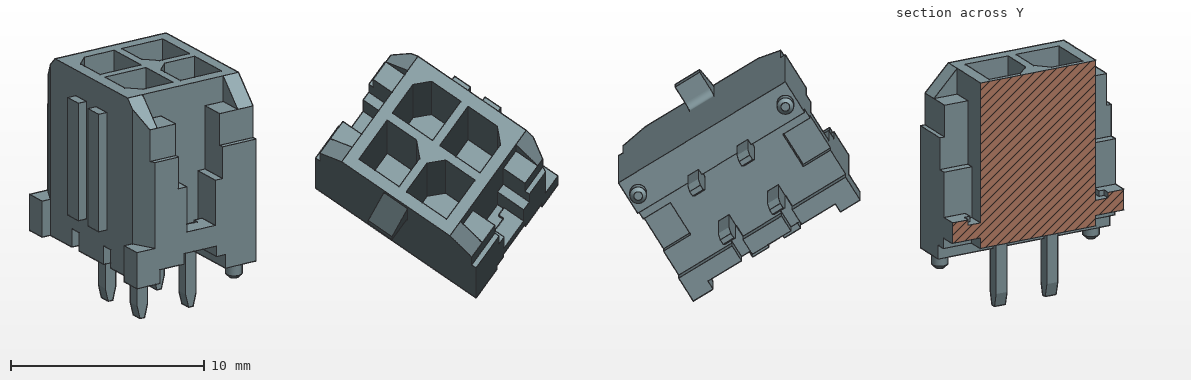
import cadquery as cq
import math

PITCH = 3.0
COLUMNS = (-PITCH / 2, PITCH / 2)
SIDES = (-1, 1)

TOTAL_WIDTH = 10.15
TOTAL_DEPTH = 8.77
TOTAL_HEIGHT = 13.09

FRONT_Y = -3.46
REAR_Y = 3.4
TOP_Z = 9.92
CORE_HALF_WIDTH = 3.42
LOWER_HALF_WIDTH = TOTAL_WIDTH / 2
UPPER_HALF_WIDTH = 4.8
STEP_Z = 6.75
LEDGE_Z = 8.5
SLOPE_WALL_FRONT_Y = -2.53
SLOPE_WALL_REAR_Y = 2.45
CORNER_CUT_X = 3.87
CORNER_CUT_Y = -2.84

FRONT_RELIEF = 0.5
RAISED_FRONT_Y = FRONT_Y - FRONT_RELIEF
FOOT_TOP_Z = 2.0
RIB_WIDTH = 1.0
RIB_OFFSET = 0.96

WIDE_SLOT_FRONT_Y = -1.39
WIDE_SLOT_REAR_Y = 1.33
WIDE_SLOT_FLOOR_Z = 5.0
NARROW_SLOT_HALF_WIDTH = 0.88
NARROW_SLOT_FLOOR_Z = 2.5
FLOOR_POCKET_DEPTH = 0.3
FLOOR_POCKET_X = 3.82
FLOOR_POCKET_KEY_X = 4.13
FLOOR_POCKET_KEY_HALF_WIDTH = 0.4

CHANNEL_FRONT_Y = -2.53
CHANNEL_REAR_Y = 1.5
CHANNEL_HEIGHT = 0.76
NOTCH_HALF_WIDTH = 1.0
NOTCH_CENTER_Y = -0.04
NOTCH_TOP_Z = 1.34
PIN_SLOT_TOP_Z = 1.02

CAVITY_SIZE = 2.54
CAVITY_BEVEL = 0.69
CAVITY_REAR_DRAFT = 0.05
CAVITY_FLOOR_Z = NARROW_SLOT_FLOOR_Z

LATCH_WIDTH = 1.5
LATCH_REACH = TOTAL_DEPTH - (REAR_Y - RAISED_FRONT_Y)
LATCH_TOP_Z = 9.53
LATCH_BOTTOM_Z = 7.43
LATCH_FILLET = 0.4

PIN_SIZE = 0.65
PIN_BOTTOM_Z = TOP_Z - TOTAL_HEIGHT
PIN_TAPER_Z = -2.43
PIN_TIP_THICKNESS = 0.28
PIN_ROOT_Z = 1.6

PEG_X = 4.475
PEG_Y = 2.42
PEG_RADIUS = 0.435
PEG_BOTTOM_Z = -0.85
PEG_CHAMFER = 0.21


def box(x_range, y_range, z_range):
    """Axis-aligned block between two limits on each axis, given in either order."""
    x_min, x_max = sorted(x_range)
    y_min, y_max = sorted(y_range)
    z_min, z_max = sorted(z_range)
    block = cq.Workplane("XY").box(x_max - x_min, y_max - y_min, z_max - z_min, centered=False)
    return block.translate((x_min, y_min, z_min))


def extrude_along_y(points, y_start, y_end):
    """Prism along Y from an outline of (x, z) points."""
    outline = cq.Workplane("XZ", origin=(0, y_start, 0)).polyline(points).close()
    return outline.extrude(y_start - y_end)


def extrude_along_x(points, x_start, x_end):
    """Prism along X from an outline of (y, z) points."""
    outline = cq.Workplane("YZ", origin=(x_start, 0, 0)).polyline(points).close()
    return outline.extrude(x_end - x_start)


def extrude_up(points, z_start, z_end):
    """Prism along Z from an outline of (x, y) points."""
    outline = cq.Workplane("XY", origin=(0, 0, z_start)).polyline(points).close()
    return outline.extrude(z_end - z_start)


def housing_blank():
    """Stepped block with sloped shoulders, reduced to ledges between the corner walls."""
    half_outline = [
        (LOWER_HALF_WIDTH, 0),
        (LOWER_HALF_WIDTH, STEP_Z),
        (UPPER_HALF_WIDTH, STEP_Z),
        (UPPER_HALF_WIDTH, LEDGE_Z),
        (CORE_HALF_WIDTH, TOP_Z),
    ]
    mirrored = [(-x, z) for x, z in reversed(half_outline)]
    blank = extrude_along_y(half_outline + mirrored, FRONT_Y, REAR_Y)
    for side in SIDES:
        blank = blank.cut(box(
            (side * CORE_HALF_WIDTH, side * LOWER_HALF_WIDTH),
            (SLOPE_WALL_FRONT_Y, SLOPE_WALL_REAR_Y),
            (LEDGE_Z, TOP_Z),
        ))
    return blank


def corner_bevel(side):
    """Wedge removed from a front vertical corner."""
    points = [
        (side * LOWER_HALF_WIDTH, CORNER_CUT_Y),
        (side * CORNER_CUT_X, FRONT_Y),
        (side * LOWER_HALF_WIDTH, FRONT_Y),
    ]
    return extrude_up(points, FOOT_TOP_Z, TOP_Z)


def side_slot(side):
    """Stepped slot in a side wing, with a keyed shallow pocket in its floor."""
    inner_x = side * CORE_HALF_WIDTH
    outer_x = side * LOWER_HALF_WIDTH
    narrow = (-NARROW_SLOT_HALF_WIDTH, NARROW_SLOT_HALF_WIDTH)
    key = (-FLOOR_POCKET_KEY_HALF_WIDTH, FLOOR_POCKET_KEY_HALF_WIDTH)
    pocket_z = (NARROW_SLOT_FLOOR_Z - FLOOR_POCKET_DEPTH, NARROW_SLOT_FLOOR_Z)
    slot = box((inner_x, outer_x), (WIDE_SLOT_FRONT_Y, WIDE_SLOT_REAR_Y), (WIDE_SLOT_FLOOR_Z, TOP_Z))
    slot = slot.union(box((inner_x, outer_x), narrow, (NARROW_SLOT_FLOOR_Z, WIDE_SLOT_FLOOR_Z)))
    slot = slot.union(box((inner_x, side * FLOOR_POCKET_X), narrow, pocket_z))
    return slot.union(box((inner_x, side * FLOOR_POCKET_KEY_X), key, pocket_z))


def underside_channel():
    """Channel across the full width of the underside."""
    return box(
        (-LOWER_HALF_WIDTH, LOWER_HALF_WIDTH),
        (CHANNEL_FRONT_Y, CHANNEL_REAR_Y),
        (0, CHANNEL_HEIGHT),
    )


def side_notch(side):
    """Notch above the channel at a side wing."""
    return box(
        (side * CORE_HALF_WIDTH, side * LOWER_HALF_WIDTH),
        (NOTCH_CENTER_Y - NOTCH_HALF_WIDTH, NOTCH_CENTER_Y + NOTCH_HALF_WIDTH),
        (CHANNEL_HEIGHT, NOTCH_TOP_Z),
    )


def pin_slot(x):
    """Slot in the underside from the front face back to a front-row pin."""
    return box((x - PIN_SIZE / 2, x + PIN_SIZE / 2), (FRONT_Y, -PITCH / 2), (0, PIN_SLOT_TOP_Z))


def cavity(x, y):
    """Contact cavity; the rear row is beveled toward the center, the front row outward."""
    half = CAVITY_SIZE / 2
    outward = math.copysign(1, x)
    bevel_side = -outward if y > 0 else outward
    points = [
        (x - bevel_side * half, y + half),
        (x + bevel_side * half, y + half),
        (x + bevel_side * half, y - half + CAVITY_BEVEL),
        (x + bevel_side * (half - CAVITY_BEVEL), y - half),
        (x - bevel_side * half, y - half),
    ]
    pocket = extrude_up(points, CAVITY_FLOOR_Z, TOP_Z)
    rear_y = y + half
    lean = [
        (rear_y, TOP_Z),
        (rear_y, CAVITY_FLOOR_Z),
        (rear_y - CAVITY_REAR_DRAFT, CAVITY_FLOOR_Z),
    ]
    return pocket.cut(extrude_along_x(lean, x - half, x + half))


def foot(side):
    """Block at a front corner that stands forward of the front face."""
    return box(
        (side * CORNER_CUT_X, side * LOWER_HALF_WIDTH),
        (RAISED_FRONT_Y, CHANNEL_FRONT_Y),
        (0, FOOT_TOP_Z),
    )


def front_rib(side):
    """Vertical rib on the front face."""
    center_x = side * RIB_OFFSET
    return box(
        (center_x - RIB_WIDTH / 2, center_x + RIB_WIDTH / 2),
        (RAISED_FRONT_Y, FRONT_Y),
        (FOOT_TOP_Z, LEDGE_Z),
    )


def latch():
    """Hook on the rear face: 45 degree ramp above, filleted root below."""
    arc_middle = LATCH_FILLET * (1 - math.sqrt(0.5))
    tip_y = REAR_Y + LATCH_REACH
    profile = (
        cq.Workplane("YZ", origin=(-LATCH_WIDTH / 2, 0, 0))
        .moveTo(REAR_Y, LATCH_TOP_Z)
        .lineTo(tip_y, LATCH_TOP_Z - LATCH_REACH)
        .lineTo(tip_y, LATCH_BOTTOM_Z)
        .lineTo(REAR_Y + LATCH_FILLET, LATCH_BOTTOM_Z)
        .threePointArc(
            (REAR_Y + arc_middle, LATCH_BOTTOM_Z - arc_middle),
            (REAR_Y, LATCH_BOTTOM_Z - LATCH_FILLET),
        )
        .close()
    )
    return profile.extrude(LATCH_WIDTH)


def solder_pin(x, y):
    """Square pin whose front and rear faces taper to the tip."""
    half = PIN_SIZE / 2
    half_tip = PIN_TIP_THICKNESS / 2
    points = [
        (y - half, PIN_ROOT_Z),
        (y - half, PIN_TAPER_Z),
        (y - half_tip, PIN_BOTTOM_Z),
        (y + half_tip, PIN_BOTTOM_Z),
        (y + half, PIN_TAPER_Z),
        (y + half, PIN_ROOT_Z),
    ]
    return extrude_along_x(points, x - half, x + half)


def locating_peg(side):
    """Round peg under a rear corner with a chamfered tip."""
    peg = cq.Workplane("XY").center(side * PEG_X, PEG_Y).circle(PEG_RADIUS).extrude(PEG_BOTTOM_Z)
    return peg.faces("<Z").chamfer(PEG_CHAMFER)


def build():
    part = housing_blank()
    for side in SIDES:
        part = part.cut(corner_bevel(side)).cut(side_slot(side)).cut(side_notch(side))
    part = part.cut(underside_channel())
    for x in COLUMNS:
        part = part.cut(pin_slot(x))
        for y in COLUMNS:
            part = part.cut(cavity(x, y)).union(solder_pin(x, y))
    for side in SIDES:
        part = part.union(foot(side)).union(front_rib(side)).union(locating_peg(side))
    return part.union(latch())


result = build()